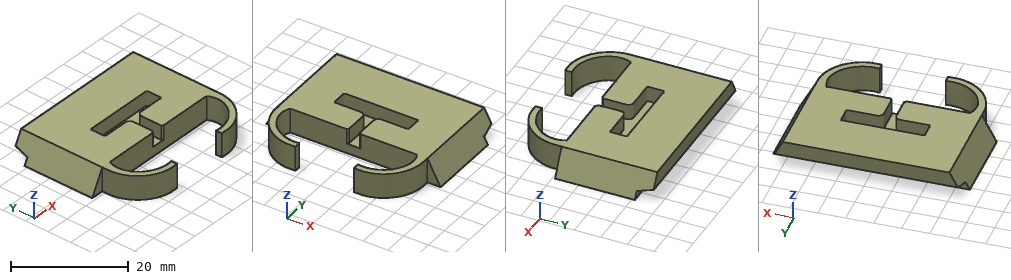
import cadquery as cq

base_width = 35.15
top_width = 29.8
height = 5.0
block_length = 18.0

undercut_length = 3.0
undercut_inner_height = 1.4
undercut_outer_height = 2.2

pocket_depth = 3.0
bar_width = 14.98
bar_front = 5.6
bar_back = 8.8
stem_width = 2.18
bar_corner_radius = 0.25
stem_corner_radius = 1.0
mouth_radius = 0.3

hook_reach = 9.15
hook_radius = 8.1
tip_thickness = 1.3
tip_x = 5.9
tip_flat_start_x = 7.85
hook_root_x = 12.8
inner_curve_points = [(8.55, -7.7), (12.0, -5.52), (13.33, -2.35)]


def make_block():
    half_base = base_width / 2
    half_top = top_width / 2
    section = [(-half_base, 0), (half_base, 0), (half_top, height), (-half_top, height)]
    return cq.Workplane("XZ").polyline(section).close().extrude(-block_length)


def make_undercut():
    step_y = block_length - undercut_length
    profile = [
        (step_y, 0),
        (block_length, 0),
        (block_length, undercut_outer_height),
        (step_y, undercut_inner_height),
    ]
    return cq.Workplane("YZ").polyline(profile).close().extrude(base_width / 2, both=True)


def make_pocket():
    half_bar = bar_width / 2
    half_stem = stem_width / 2
    half_mouth = half_stem + mouth_radius
    floor = height - pocket_depth
    bar = (
        cq.Workplane("XY", origin=(0, 0, floor))
        .moveTo(0, (bar_front + bar_back) / 2)
        .rect(bar_width, bar_back - bar_front)
        .extrude(pocket_depth)
        .edges("|Z")
        .fillet(bar_corner_radius)
    )
    stem = (
        cq.Workplane("XY", origin=(0, 0, floor))
        .moveTo(-half_mouth, 0)
        .lineTo(half_mouth, 0)
        .radiusArc((half_stem, mouth_radius), -mouth_radius)
        .lineTo(half_stem, bar_front - stem_corner_radius)
        .radiusArc((half_stem + stem_corner_radius, bar_front), stem_corner_radius)
        .lineTo(-half_stem - stem_corner_radius, bar_front)
        .radiusArc((-half_stem, bar_front - stem_corner_radius), stem_corner_radius)
        .lineTo(-half_stem, mouth_radius)
        .radiusArc((-half_mouth, 0), -mouth_radius)
        .close()
        .extrude(pocket_depth)
    )
    return bar.union(stem)


def make_hook():
    outer_x = top_width / 2
    arc_start_y = hook_radius - hook_reach
    return (
        cq.Workplane("XY")
        .moveTo(hook_root_x, 0)
        .lineTo(outer_x, 0)
        .lineTo(outer_x, arc_start_y)
        .radiusArc((tip_flat_start_x, -hook_reach), hook_radius)
        .lineTo(tip_x, -hook_reach)
        .lineTo(tip_x, tip_thickness - hook_reach)
        .spline(inner_curve_points + [(hook_root_x, 0)], includeCurrent=True)
        .close()
        .extrude(height)
    )


hook = make_hook()
body = make_block().cut(make_undercut()).cut(make_pocket())
result = body.union(hook).union(hook.mirror("YZ"))